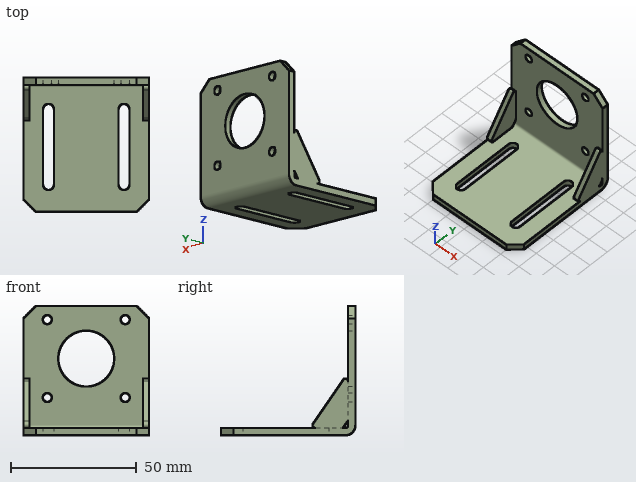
import cadquery as cq
import math

width = 50.0
depth = 53.5
height = 51.5
thickness = 3.0
inner_bend_radius = 1.0
outer_bend_radius = inner_bend_radius + thickness
corner_chamfer = 5.0

motor_axis_height = 30.55
pilot_diameter = 22.15
screw_diameter = 3.5
screw_spacing = 31.0

slot_spacing = 30.0
slot_width = 4.2
slot_length = 34.15
slot_center_from_wall = 27.65

gusset_thickness = 2.5
gusset_height = 19.7
gusset_depth = 14.2
gusset_tip_radius = 1.0
gusset_relief_depth = 1.9


def make_bent_plate():
    """L-shaped sheet with a rounded bend and chamfered free corners."""
    profile = (
        cq.Workplane("YZ")
        .polyline([
            (0, 0), (-depth, 0), (-depth, thickness),
            (-thickness, thickness), (-thickness, height), (0, height),
        ])
        .close()
        .extrude(width / 2, both=True)
    )
    bent = profile.edges(cq.NearestToPointSelector((0, 0, 0))).fillet(outer_bend_radius)
    inner_corner = cq.NearestToPointSelector((0, -thickness, thickness))
    bent = bent.edges(inner_corner).fillet(inner_bend_radius)
    bent = bent.faces(">Z").edges("|Y").chamfer(corner_chamfer)
    return bent.faces("<Y").edges("|Z").chamfer(corner_chamfer)


def make_motor_holes():
    """Pilot bore and four screw holes through the wall."""
    wall = cq.Workplane("XZ", origin=(0, 0, motor_axis_height))
    pilot = wall.circle(pilot_diameter / 2).extrude(thickness)
    screws = (
        wall.rect(screw_spacing, screw_spacing, forConstruction=True)
        .vertices()
        .circle(screw_diameter / 2)
        .extrude(thickness)
    )
    return pilot.union(screws)


def make_slots():
    """Two parallel slots through the floor."""
    return (
        cq.Workplane("XY", origin=(0, -slot_center_from_wall, 0))
        .pushPoints([(-slot_spacing / 2, 0), (slot_spacing / 2, 0)])
        .slot2D(slot_length, slot_width, 90)
        .extrude(thickness)
    )


def make_gusset(start_x):
    """Triangular web with rounded tips and a cut-off inner corner."""
    radius = gusset_tip_radius
    top_center_z = gusset_height - radius
    front_center_y = gusset_depth - radius
    rise = top_center_z - radius
    run = front_center_y - radius
    slope_angle = math.atan2(run, rise)
    relief_height = gusset_relief_depth * rise / run

    def inside(y, z):
        """Point at distance y from the wall face and z above the floor face."""
        return (-thickness - y, thickness + z)

    def on_tip(center_y, center_z, angle):
        return inside(center_y + radius * math.cos(angle), center_z + radius * math.sin(angle))

    top_mid_angle = (math.pi + slope_angle) / 2
    front_mid_angle = (slope_angle - math.pi / 2) / 2
    return (
        cq.Workplane("YZ", origin=(start_x, 0, 0))
        .moveTo(*inside(0, relief_height))
        .lineTo(*inside(0, top_center_z))
        .threePointArc(
            on_tip(radius, top_center_z, top_mid_angle),
            on_tip(radius, top_center_z, slope_angle),
        )
        .lineTo(*on_tip(front_center_y, radius, slope_angle))
        .threePointArc(
            on_tip(front_center_y, radius, front_mid_angle),
            inside(front_center_y, 0),
        )
        .lineTo(*inside(gusset_relief_depth, 0))
        .close()
        .extrude(gusset_thickness)
    )


result = make_bent_plate().cut(make_motor_holes()).cut(make_slots())
for gusset_start in (-width / 2, width / 2 - gusset_thickness):
    result = result.union(make_gusset(gusset_start))